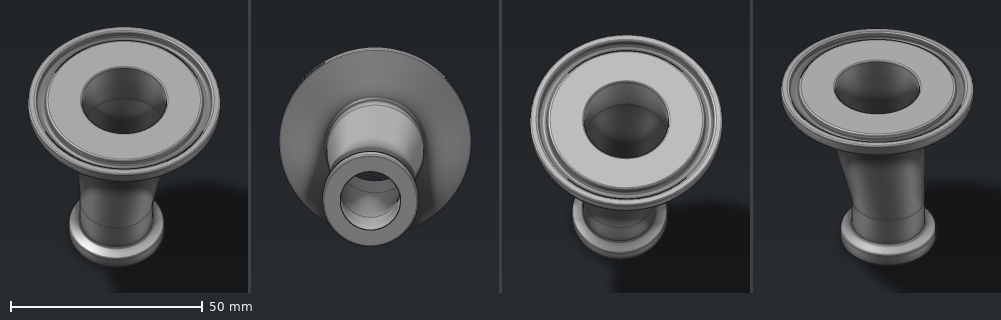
import cadquery as cq
import math

total_height = 50.8
tube_end = 12.7
reducer_height = total_height - 2 * tube_end

large_tube_radius = 25.4 / 2
small_tube_radius = 19.05 / 2
large_bore_radius = 22.1 / 2
small_bore_radius = 15.75 / 2
small_end_y = small_tube_radius - large_tube_radius

large_flange_radius = 50.4 / 2
small_flange_radius = 25.0 / 2
large_rim_height = 2.9
small_rim_height = 3.6
flange_slope = math.radians(20)
edge_round = 0.4
large_neck_fillet = 1.0
small_neck_fillet = 0.5

groove_radius = 21.75
groove_half_width = 1.85
groove_bottom_round = 1.1
groove_lip_round = 0.6
groove_wall_angle = math.radians(20)


def clamp_end(flange_radius, rim_height, tube_radius, neck_fillet):
    """Solid clamp end with its sealing face at Z = 0 and its tube towards +Z."""
    neck_height = rim_height + (flange_radius - tube_radius) * math.tan(flange_slope)
    flange = (
        cq.Workplane("XZ")
        .lineTo(flange_radius, 0)
        .lineTo(flange_radius, rim_height)
        .lineTo(tube_radius, neck_height)
        .lineTo(tube_radius, tube_end)
        .lineTo(0, tube_end)
        .close()
        .revolve(360, (0, 0), (0, 1))
    )
    circles = flange.edges("%CIRCLE")
    rim_edges = circles.filter(lambda edge: edge.Center().z < rim_height + edge_round)
    neck_edges = circles.filter(lambda edge: abs(edge.Center().z - neck_height) < neck_fillet)
    rounded = flange.newObject(rim_edges.vals()).fillet(edge_round)
    return rounded.newObject(neck_edges.vals()).fillet(neck_fillet)


def reducer(small_radius, large_radius):
    """Eccentric cone between the small tube and the large tube."""
    return (
        cq.Workplane("XY", origin=(0, small_end_y, tube_end))
        .circle(small_radius)
        .workplane(offset=reducer_height)
        .center(0, -small_end_y)
        .circle(large_radius)
        .loft(ruled=True)
    )


def gasket_groove():
    """Ring cutter for the groove in the top face; its walls are tangent to all rounds."""
    across = math.cos(groove_wall_angle)
    rise = math.sin(groove_wall_angle)
    lip_x = groove_half_width - groove_lip_round * across
    lip_z = -groove_lip_round * (1 - rise)
    floor_x = groove_bottom_round * across
    floor_z = lip_z - (lip_x - floor_x) / math.tan(groove_wall_angle)
    depth_z = floor_z - groove_bottom_round * (1 - rise)

    lip_mid_angle = (math.pi / 2 + groove_wall_angle) / 2
    lip_mid_x = groove_half_width - groove_lip_round * math.cos(lip_mid_angle)
    lip_mid_z = -groove_lip_round * (1 - math.sin(lip_mid_angle))

    return (
        cq.Workplane("XZ", origin=(0, 0, total_height))
        .center(groove_radius, 0)
        .moveTo(-groove_half_width, 0)
        .threePointArc((-lip_mid_x, lip_mid_z), (-lip_x, lip_z))
        .lineTo(-floor_x, floor_z)
        .threePointArc((0, depth_z), (floor_x, floor_z))
        .lineTo(lip_x, lip_z)
        .threePointArc((lip_mid_x, lip_mid_z), (groove_half_width, 0))
        .close()
        .revolve(360, (-groove_radius, 0), (-groove_radius, 1))
    )


def bore():
    """Through passage: straight in both tubes, tapered in the reducer."""
    small_bore = cq.Workplane("XY", origin=(0, small_end_y, 0)).circle(small_bore_radius).extrude(tube_end)
    large_bore = (
        cq.Workplane("XY", origin=(0, 0, total_height - tube_end))
        .circle(large_bore_radius)
        .extrude(tube_end)
    )
    return small_bore.union(reducer(small_bore_radius, large_bore_radius)).union(large_bore)


small_end = clamp_end(small_flange_radius, small_rim_height, small_tube_radius, small_neck_fillet)
small_end = small_end.translate((0, small_end_y, 0))

large_end = clamp_end(large_flange_radius, large_rim_height, large_tube_radius, large_neck_fillet)
large_end = large_end.rotate((0, 0, 0), (1, 0, 0), 180).translate((0, 0, total_height))

body = small_end.union(reducer(small_tube_radius, large_tube_radius)).union(large_end)
body = body.cut(bore())

body = body.faces(">Z").edges(cq.selectors.RadiusNthSelector(0)).fillet(edge_round)

result = body.cut(gasket_groove())